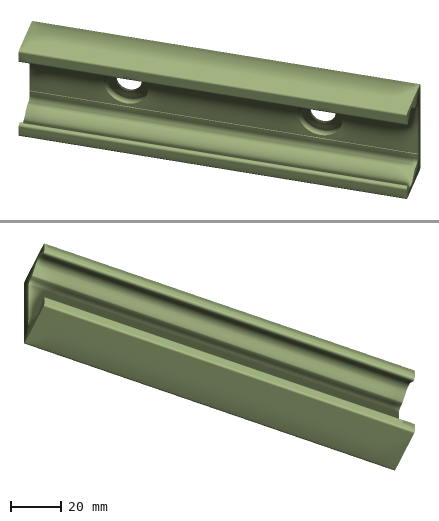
import cadquery as cq
import math

length = 160.0
depth = 21.0
height = 43.0
half_depth = depth / 2
half_height = height / 2
outer_radius = 1.0

web_thickness = 4.5
shelf_half_gap = 15.2
shelf_end = 8.2
inner_slope = 38.0
outer_slope = 45.0
lip_half_gap = 13.85
web_corner_radius = 2.0
shelf_radius = 1.0
raceway_radius = 3.75
lip_radius = 1.15

mark_radius = 0.25
mark_z = -10.5

hole_spacing = 80.0
hole_diameter = 10.5
counterbore_diameter = 18.0
counterbore_depth = 3.3

web_face_y = half_depth - web_thickness
shelf_end_y = half_depth - shelf_end


def raceway_apex():
    """Return (y, z) where the two upper raceway flanks would meet if sharp."""
    inner_rise = math.tan(math.radians(inner_slope))
    outer_rise = math.tan(math.radians(outer_slope))
    flank_span = depth - shelf_end
    run = (lip_half_gap - shelf_half_gap + outer_rise * flank_span) / (inner_rise + outer_rise)
    return shelf_end_y - run, shelf_half_gap + inner_rise * run


def round_along_length(body, corner, radius):
    """Round the lengthwise edges at a section corner (y, z) and at its mirror below."""
    y, z = corner
    for edge_z in (z, -z):
        edge = body.edges(cq.selectors.NearestToPointSelector((0, y, edge_z)))
        body = edge.fillet(radius)
    return body


def make_channel():
    """Extrude the sharp C section, then round its corners."""
    rounded_corners = [
        ((half_depth, half_height), outer_radius),
        ((-half_depth, half_height), outer_radius),
        ((-half_depth, lip_half_gap), lip_radius),
        (raceway_apex(), raceway_radius),
        ((shelf_end_y, shelf_half_gap), shelf_radius),
        ((web_face_y, shelf_half_gap), web_corner_radius),
    ]
    upper = [corner for corner, radius in rounded_corners]
    lower = [(y, -z) for y, z in reversed(upper)]
    section = cq.Workplane("YZ").polyline(upper + lower).close()
    body = section.extrude(length / 2, both=True)
    for corner, radius in rounded_corners:
        body = round_along_length(body, corner, radius)
    return body


def cut_marking_groove(body):
    groove = (
        cq.Workplane("YZ")
        .center(web_face_y, mark_z)
        .circle(mark_radius)
        .extrude(length / 2, both=True)
    )
    return body.cut(groove)


def cut_mounting_holes(body):
    """Cut the holes through the web, counterbored from its inner face."""
    return (
        body.copyWorkplane(cq.Workplane("XZ", origin=(0, web_face_y, 0)))
        .pushPoints([(-hole_spacing / 2, 0), (hole_spacing / 2, 0)])
        .cboreHole(hole_diameter, counterbore_diameter, counterbore_depth)
    )


result = make_channel()
result = cut_marking_groove(result)
result = cut_mounting_holes(result)